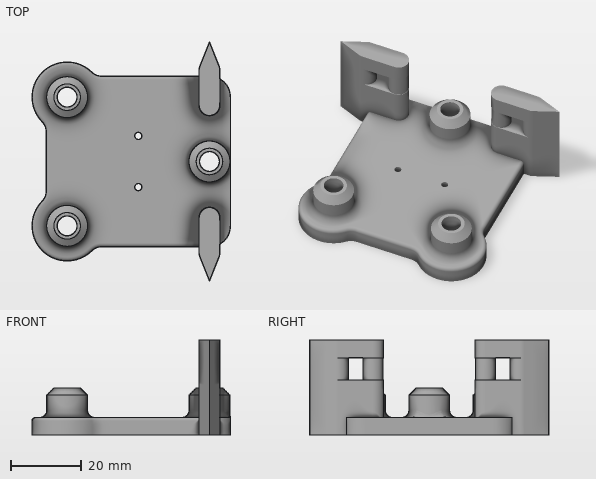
import cadquery as cq
import math

boss_spacing_x = 40.45
boss_spacing_y = 36.6
boss_inset = 6.0
plate_thickness = 5.0
plate_edge_round = 1.0
lobe_radius = 10.0
lobe_blend_radius = 4.0

boss_diameter = 11.6
boss_height = 13.4
boss_top_chamfer = 2.05
boss_foot_radius = 2.0
boss_hole_diameter = 5.6

small_hole_diameter = 2.0
small_hole_spacing = 14.55

overall_width = 68
post_height = 27.1
post_width = 6.0
post_nose_length = 8.1
post_centre_spacing = 9.9
window_bottom = 15.7
window_top = 22.0
pillar_diameter = 5.8

boss_x = boss_spacing_x / 2
boss_y = boss_spacing_y / 2
plate_half_x = boss_x + boss_inset
plate_half_y = boss_y + boss_inset
left_bosses = [(-boss_x, boss_y), (-boss_x, -boss_y)]
boss_centres = left_bosses + [(boss_x, 0)]

post_radius = post_width / 2
tip_y = overall_width / 2
nose_y = tip_y - post_nose_length
inner_y = nose_y - post_centre_spacing


def lobed_outline():
    """Outline of the plate left of the post centreline, with a blended round lobe on each left corner."""
    blend_offset = boss_inset + lobe_blend_radius
    centre_distance = lobe_radius + lobe_blend_radius
    blend_reach = math.sqrt(centre_distance**2 - blend_offset**2)
    to_lobe = lobe_radius / centre_distance
    lobe_far = lobe_radius * math.sqrt(0.5)

    contact_angle = math.asin(blend_offset / centre_distance)
    mid_angle = (contact_angle + math.pi / 2) / 2
    mid_reach = blend_reach - lobe_blend_radius * math.cos(mid_angle)
    mid_offset = blend_offset - lobe_blend_radius * math.sin(mid_angle)

    contact_reach = blend_reach * to_lobe
    contact_offset = blend_offset * to_lobe

    def from_boss(dx, dy):
        return (dx - boss_x, dy + boss_y)

    return (
        cq.Workplane("XY")
        .moveTo(boss_x, 0)
        .lineTo(boss_x, plate_half_y)
        .lineTo(*from_boss(blend_reach, boss_inset))
        .threePointArc(from_boss(mid_reach, mid_offset), from_boss(contact_reach, contact_offset))
        .threePointArc(from_boss(-lobe_far, lobe_far), from_boss(-contact_offset, -contact_reach))
        .threePointArc(from_boss(-mid_offset, -mid_reach), from_boss(-boss_inset, -blend_reach))
        .lineTo(-plate_half_x, 0)
        .mirrorX()
    )


def base_plate():
    """Plate with a rounded top edge, except on the right end strip, which stays sharp."""
    rounded_part = (
        lobed_outline()
        .extrude(plate_thickness)
        .clean()
        .faces(">Z")
        .edges("not >X")
        .fillet(plate_edge_round)
    )
    end_strip = (
        cq.Workplane("XY")
        .moveTo(boss_x, -plate_half_y)
        .lineTo(boss_x, plate_half_y)
        .radiusArc((plate_half_x, boss_y), boss_inset)
        .lineTo(plate_half_x, -boss_y)
        .radiusArc((boss_x, -plate_half_y), boss_inset)
        .close()
        .extrude(plate_thickness)
    )
    return rounded_part.union(end_strip)


def add_boss(plate, x, y):
    """Plate with one more chamfered boss at x, y, flared where it meets the plate."""
    boss = (
        cq.Workplane("XY")
        .center(x, y)
        .circle(boss_diameter / 2)
        .extrude(boss_height)
        .faces(">Z")
        .chamfer(boss_top_chamfer)
    )
    tolerance = 0.1
    around_foot = cq.selectors.BoxSelector(
        (x - tolerance, y - tolerance, plate_thickness - tolerance),
        (x + tolerance, y + tolerance, plate_thickness + tolerance),
    )
    return plate.union(boss).edges(around_foot).fillet(boss_foot_radius)


def nose(height):
    """Upright teardrop bar: a cylinder about the nose centre with tangent faces meeting at the tip."""
    taper_angle = math.asin(post_radius / post_nose_length)
    shoulder_x = post_radius * math.cos(taper_angle)
    shoulder_y = nose_y + post_radius * math.sin(taper_angle)
    return (
        cq.Workplane("XY")
        .moveTo(0, tip_y)
        .lineTo(shoulder_x, shoulder_y)
        .threePointArc((0, nose_y - post_radius), (-shoulder_x, shoulder_y))
        .close()
        .extrude(height)
    )


def post_bar(height):
    """Full-length bar: the nose joined to a round inner end by parallel sides."""
    slot_length = post_centre_spacing + post_width
    body = (
        cq.Workplane("XY")
        .center(0, (nose_y + inner_y) / 2)
        .slot2D(slot_length, post_width, 90)
        .extrude(height)
    )
    return body.union(nose(height))


def post():
    """Bar interrupted by a window that only the nose and a slim round pillar cross."""
    foot = post_bar(window_bottom)
    cap = post_bar(post_height - window_top).translate((0, 0, window_top))
    pillar = cq.Workplane("XY").center(0, inner_y).circle(pillar_diameter / 2).extrude(post_height)
    return foot.union(nose(post_height)).union(pillar).union(cap).translate((boss_x, 0, 0))


def holes():
    """Through bores of the bosses and the two small holes in the middle of the plate."""
    bores = cq.Workplane("XY").pushPoints(boss_centres).circle(boss_hole_diameter / 2).extrude(boss_height)
    small_holes = (
        cq.Workplane("XY")
        .rarray(0.7, small_hole_spacing, 1, 2)
        .circle(small_hole_diameter / 2)
        .extrude(plate_thickness)
    )
    return bores.union(small_holes)


plate = base_plate()
for x, y in boss_centres:
    plate = add_boss(plate, x, y)

result = plate.union(post()).union(post().mirror("XZ")).cut(holes())